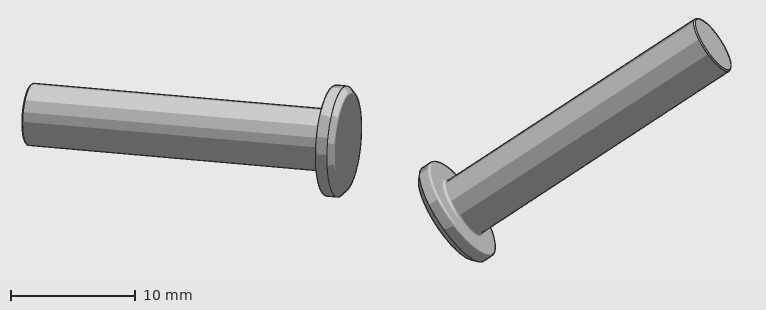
import cadquery as cq
import math

total_length = 26.5
head_diameter = 8.95
head_thickness = 1.5
shank_diameter = 5.0
neck_fillet = 0.25
tip_chamfer = 0.1
under_head_round = 0.19
crown_height = 0.5
crown_round = 0.26

head_radius = head_diameter / 2
shank_radius = shank_diameter / 2
head_start = total_length - head_thickness
crown_start = total_length - crown_height
neck_start = head_start - neck_fillet
neck_radius = shank_radius + neck_fillet

half_right_angle = math.radians(45)
round_depth = crown_round * (1 - math.cos(half_right_angle))
bevel_height = crown_height - round_depth
bevel_end = (crown_start + bevel_height, head_radius - bevel_height)
face_radius = bevel_end[1] - crown_round * math.sin(half_right_angle)
round_center_x = total_length - crown_round
round_middle = (
    round_center_x + crown_round * math.cos(half_right_angle / 2),
    face_radius + crown_round * math.sin(half_right_angle / 2),
)
neck_middle = (
    neck_start + neck_fillet * math.sin(half_right_angle),
    neck_radius - neck_fillet * math.cos(half_right_angle),
)
rim_inset = under_head_round * (1 - math.cos(half_right_angle))
rim_middle = (head_start + rim_inset, head_radius - rim_inset)

half_section = (
    cq.Workplane("XY")
    .lineTo(0, shank_radius - tip_chamfer)
    .lineTo(tip_chamfer, shank_radius)
    .lineTo(neck_start, shank_radius)
    .threePointArc(neck_middle, (head_start, neck_radius))
    .lineTo(head_start, head_radius - under_head_round)
    .threePointArc(rim_middle, (head_start + under_head_round, head_radius))
    .lineTo(crown_start, head_radius)
    .lineTo(*bevel_end)
    .threePointArc(round_middle, (total_length, face_radius))
    .lineTo(total_length, 0)
    .close()
)

result = half_section.revolve(360, (0, 0, 0), (1, 0, 0))